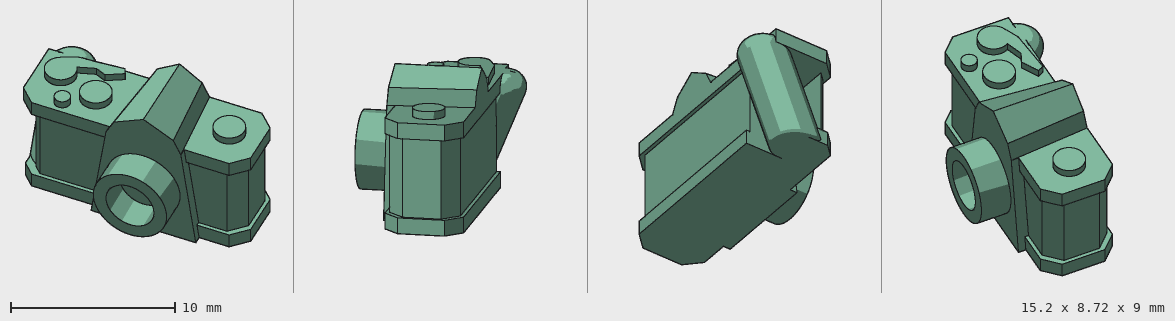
import cadquery as cq
import math


plate_depth = 4.9
plate_thickness = 1.0
plate_right = 6.5
top_plate_left = -8.7
bottom_plate_left = -8.45
plate_chamfer = 1.0
corner_step = 0.1
deck_height = 7.0

body_inset = 0.25
body_right = plate_right - body_inset
body_front = body_inset
body_back = plate_depth - body_inset
body_left = -7.75
body_left_chamfer = 0.5
recess_floor = -5.75

housing_overhang = 0.5
housing_base_half_width = 3.5
housing_deck_half_width = 2.5
roof_shoulder_half_width = 2.0
roof_taper = 0.5
roof_shoulder_height = 8.0
roof_ridge_height = 9.0

lens_diameter = 4.9
lens_bore_diameter = 3.2
lens_length = 2.0
lens_bore_depth = lens_length
lens_height = deck_height / 2

grip_diameter = 3.2
grip_x = top_plate_left + grip_diameter / 2
grip_base_y = 2.075
grip_lean = math.radians(22.5)
grip_foot_y = grip_base_y + math.tan(grip_lean) * plate_thickness / 2
grip_top_fillet = 0.98
grip_bottom_fillet = 0.25

control_height = 0.5
dial_diameter = 2.0
button_diameter = 1.0
lever_pivot = (grip_x, 3.0)
controls = [
    (lever_pivot, dial_diameter),
    ((-4.3, 2.0), dial_diameter),
    ((4.4, 2.5), dial_diameter),
    ((-6.0, 0.8), button_diameter),
]
lever_elbow = (-6.5, 4.37)
lever_tip = [(-3.52, 4.6), (-3.32, 4.2), (-4.42, 3.6), (-5.12, 3.9)]
lever_root = (-6.26, 3.52)


def prism(points, bottom, height):
    """Vertical prism on a plan outline."""
    return cq.Workplane("XY").workplane(offset=bottom).polyline(points).close().extrude(height)


def plate(left, bottom):
    """Plate with both right corners and the front left corner chamfered."""
    front_cut_x = top_plate_left + plate_chamfer
    left_cut_y = plate_chamfer - (left - top_plate_left)
    outline = [
        (front_cut_x, 0),
        (plate_right - plate_chamfer, 0),
        (plate_right, plate_chamfer),
        (plate_right, plate_depth - plate_chamfer),
        (plate_right - plate_chamfer, plate_depth),
        (left, plate_depth),
        (left, left_cut_y),
    ]
    return prism(outline, bottom, plate_thickness)


def top_plate():
    """Top plate, slightly shorter at the back to the left of the grip axis."""
    bottom = deck_height - plate_thickness
    step = cq.Workplane("XY").box(
        grip_x - top_plate_left, corner_step, plate_thickness, centered=False
    ).translate((top_plate_left, plate_depth - corner_step, bottom))
    return plate(top_plate_left, bottom).cut(step)


def bottom_plate():
    """Bottom plate, cut back to the recess floor behind the foot of the grip."""
    cutout = cq.Workplane("XY").box(
        recess_floor - bottom_plate_left, plate_depth - grip_foot_y, plate_thickness, centered=False
    ).translate((bottom_plate_left, grip_foot_y, 0))
    return plate(bottom_plate_left, 0).cut(cutout)


def body():
    """Body core, recessed on the left behind its front corner to clear the grip."""
    corner_y = body_front + body_left_chamfer
    outline = [
        (body_left + body_left_chamfer, body_front),
        (body_right - plate_chamfer, body_front),
        (body_right, body_front + plate_chamfer),
        (body_right, body_back - plate_chamfer),
        (body_right - plate_chamfer, body_back),
        (recess_floor, body_back),
        (recess_floor, corner_y),
        (body_left, corner_y),
    ]
    return prism(outline, 0, deck_height)


def housing_front():
    """Upright slab that narrows towards the deck."""
    outline = [
        (-housing_base_half_width, 0),
        (housing_base_half_width, 0),
        (housing_deck_half_width, deck_height),
        (-housing_deck_half_width, deck_height),
    ]
    depth = housing_overhang + body_front
    return cq.Workplane("XZ", origin=(0, body_front, 0)).polyline(outline).close().extrude(depth)


def roof_outline(narrowing):
    """Five-sided roof section, narrower on each side by the given amount."""
    deck_x = housing_deck_half_width - narrowing
    shoulder_x = roof_shoulder_half_width - narrowing
    return [
        (-deck_x, deck_height),
        (deck_x, deck_height),
        (shoulder_x, roof_shoulder_height),
        (0, roof_ridge_height),
        (-shoulder_x, roof_shoulder_height),
    ]


def roof():
    """Roof lofted from the front face to the narrower back face."""
    return (
        cq.Workplane("XZ", origin=(0, -housing_overhang, 0))
        .polyline(roof_outline(0)).close()
        .workplane(offset=-(plate_depth + housing_overhang))
        .polyline(roof_outline(roof_taper)).close()
        .loft(ruled=True)
    )


def lens_cylinder(diameter, front_y, length):
    """Cylinder on the lens axis running back from front_y."""
    plane = cq.Workplane("XZ", origin=(0, front_y, lens_height))
    return plane.circle(diameter / 2).extrude(-length)


def grip():
    """Leaning cylinder trimmed level at the base and the deck, with rounded ends."""
    direction = cq.Vector(0, math.sin(grip_lean), math.cos(grip_lean))
    length = 2 * deck_height
    mid_height = deck_height / 2
    middle = cq.Vector(grip_x, grip_base_y + math.tan(grip_lean) * mid_height, mid_height)
    section = cq.Plane(origin=middle, xDir=(1, 0, 0), normal=direction)
    cylinder = cq.Workplane(section).circle(grip_diameter / 2).extrude(length / 2, both=True)
    slab_size = 2 * length
    slab = cq.Workplane("XY").box(slab_size, slab_size, deck_height, centered=(True, True, False))
    trimmed = slab.intersect(cylinder)
    rounded_top = trimmed.faces(">Z").edges().fillet(grip_top_fillet)
    return rounded_top.faces("<Z").edges().fillet(grip_bottom_fillet)


def deck_controls():
    """Dials, button and winding lever standing on the deck."""
    pivot_x, pivot_y = lever_pivot
    reach_x = lever_elbow[0] - pivot_x
    reach_y = lever_elbow[1] - pivot_y
    dial_radius = dial_diameter / 2
    tangent_angle = math.atan2(reach_y, reach_x) + math.acos(dial_radius / math.hypot(reach_x, reach_y))
    tangent_point = (
        pivot_x + dial_radius * math.cos(tangent_angle),
        pivot_y + dial_radius * math.sin(tangent_angle),
    )
    lever = [lever_pivot, tangent_point, lever_elbow, *lever_tip, lever_root]
    solids = prism(lever, deck_height, control_height)
    for centre, diameter in controls:
        knob = cq.Workplane("XY", origin=(*centre, deck_height)).circle(diameter / 2).extrude(control_height)
        solids = solids.union(knob)
    return solids


lens_front = -housing_overhang - lens_length
result = (
    body()
    .union(bottom_plate())
    .union(top_plate())
    .union(housing_front())
    .union(roof())
    .union(lens_cylinder(lens_diameter, lens_front, lens_length))
    .union(grip())
    .union(deck_controls())
    .cut(lens_cylinder(lens_bore_diameter, lens_front, lens_bore_depth))
)